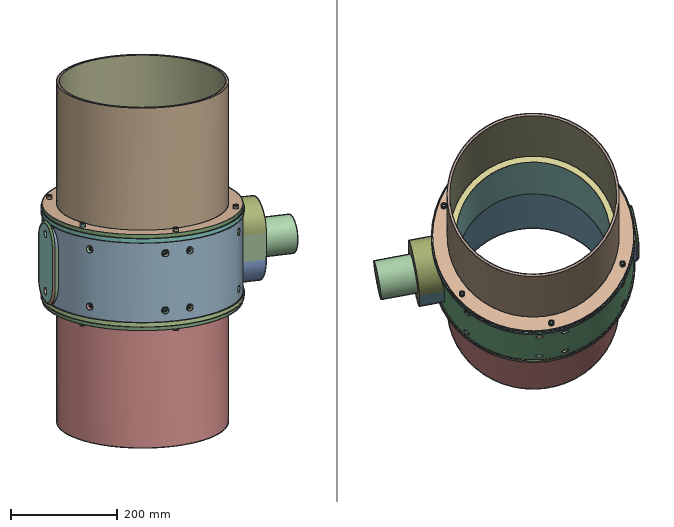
import cadquery as cq

pipe_length = 673.0
pipe_diameter = 324.0
pipe_bore = 313.5
liner_bore = 290.0

collar_height = 190.0
collar_diameter = 378.0
band_diameter = 383.0
band_inset = 7.5
band_height = 9.0

housing_width = 110.0
housing_length = 163.0
housing_end_y = 228.0
spigot_diameter = 75.0
spigot_end_y = 298.0

plate_width = 81.5
plate_length = 163.0
plate_face_y = -195.0
plate_chamfer = 4.0

head_diameter = 10.0
head_height = 6.0
socket_diameter = 5.7
socket_depth = 3.0
counterbore_diameter = 13.5
counterbore_depth = 12.0
end_screw_count = 6
end_screw_circle_radius = 178.0
side_screw_z = 56.5
side_screw_angles = (-52.5, -7.5, 7.5, 52.5)

plate_root_depth = 17.0
bore_overshoot = 3.5


def cylinder(diameter, height, center_z=0.0):
    """Cylinder along Z about the part axis."""
    return cq.Workplane("XY", origin=(0, 0, center_z - height / 2)).circle(diameter / 2).extrude(height)


def upright_slot(width, length, start_y, end_y):
    """Round-ended block, long in Z, filling start_y to end_y (start_y > end_y)."""
    return (
        cq.Workplane("XZ", origin=(0, start_y, 0))
        .slot2D(length, width, 90)
        .extrude(start_y - end_y)
    )


def screw_head():
    """Cylindrical head standing on Z = 0 with a hex socket in its top."""
    head = cq.Workplane("XY").circle(head_diameter / 2).extrude(head_height)
    return head.faces(">Z").workplane().polygon(6, socket_diameter).cutBlind(-socket_depth)


def sunk_screw():
    """Void to cut around a sunk head: a counterbore below Z = 0 with the head left standing in it."""
    bore = (
        cq.Workplane("XY", origin=(0, 0, -counterbore_depth))
        .circle(counterbore_diameter / 2)
        .extrude(counterbore_depth + bore_overshoot)
    )
    return bore.cut(screw_head().translate((0, 0, -counterbore_depth)))


collar = cylinder(collar_diameter, collar_height)
band_center_z = collar_height / 2 - band_inset - band_height / 2
for side in (1, -1):
    collar = collar.union(cylinder(band_diameter, band_height, side * band_center_z))

housing = upright_slot(housing_width, housing_length, housing_end_y, pipe_diameter / 2)
spigot = cq.Workplane("XZ", origin=(0, spigot_end_y, 0)).circle(spigot_diameter / 2)
spigot = spigot.extrude(spigot_end_y - pipe_diameter / 2)

plate = upright_slot(plate_width, plate_length, plate_face_y + plate_root_depth, plate_face_y)
plate = plate.faces("<Y").chamfer(plate_chamfer)

body = cylinder(pipe_diameter, pipe_length).union(collar).union(housing).union(spigot).union(plate)

body = body.cut(cylinder(liner_bore, pipe_length))
end_bore_depth = (pipe_length - collar_height) / 2
end_bore_center_z = (pipe_length - end_bore_depth) / 2
for side in (1, -1):
    body = body.cut(cylinder(pipe_bore, end_bore_depth, side * end_bore_center_z))

upper_screw = screw_head().translate((end_screw_circle_radius, 0, collar_height / 2))
for index in range(end_screw_count):
    screw = upper_screw.rotate((0, 0, 0), (0, 0, 1), index * 360 / end_screw_count)
    body = body.union(screw).union(screw.mirror("XY"))

side_void = sunk_screw().rotate((0, 0, 0), (0, 1, 0), 90).translate((collar_diameter / 2, 0, 0))
plate_void = sunk_screw().rotate((0, 0, 0), (1, 0, 0), 90).translate((0, plate_face_y, 0))
for z in (side_screw_z, -side_screw_z):
    body = body.cut(plate_void.translate((0, 0, z)))
    for half_turn in (0, 180):
        for angle in side_screw_angles:
            void = side_void.rotate((0, 0, 0), (0, 0, 1), half_turn + angle)
            body = body.cut(void.translate((0, 0, z)))

result = body